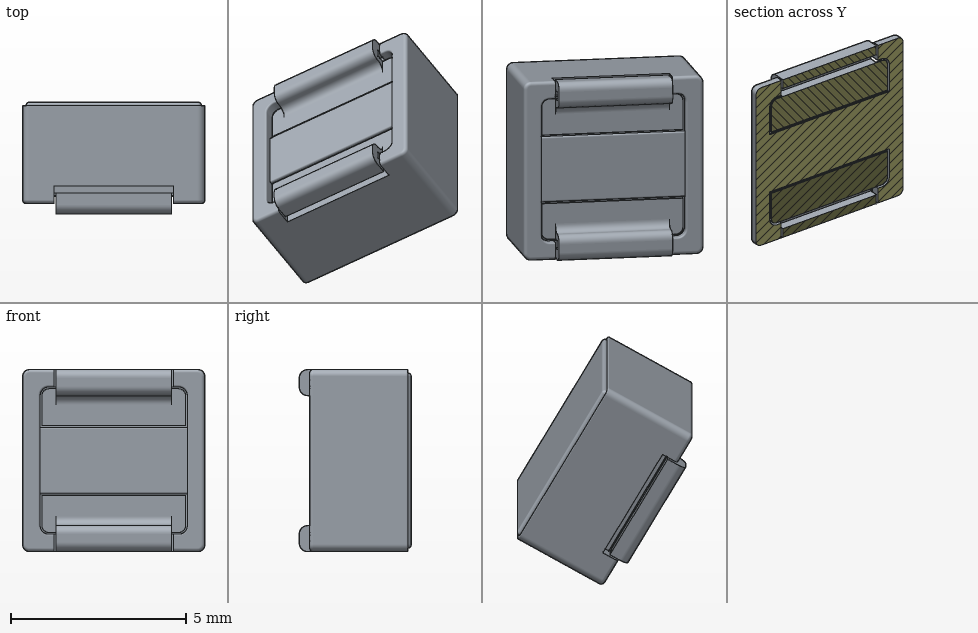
import cadquery as cq
import math

housing_side = 5.2
housing_depth = 2.8
housing_corner_radius = 0.2
front_edge_fillet = 0.1
back_edge_fillet = 0.03

back_panel_inset = 0.1
back_panel_height = 0.1
back_panel_fillet = 0.099

pocket_side = 4.2
pocket_corner_radius = 0.25
pocket_depth = 0.3
pocket_rim_fillet = 0.05
bar_top_depth = 0.2
bar_height = 1.9
bar_edge_fillet = 0.05

clearance = 0.05
plate_thickness = 0.06
lead_width = 3.3
lead_bend_radius = 0.25
lead_projection = 0.3
lead_height = 0.75
lead_flange_thickness = 0.3
bead_back = 0

notch_depth = 0.5

housing_half = housing_side / 2
pocket_half = pocket_side / 2
notch_width = lead_width + 2 * clearance
plate_front = pocket_depth - plate_thickness
plate_side = pocket_side - 2 * clearance
plate_outer_edge = plate_side / 2
plate_inner_edge = bar_height / 2 + clearance


def block(width, height, y_start, y_end, z_center=0):
    """Box centred on X, reaching from y_start to y_end."""
    return cq.Workplane("XY").box(width, y_end - y_start, height).translate(
        (0, (y_start + y_end) / 2, z_center)
    )


def rounded_block(side, corner_radius, y_start, y_end):
    """Square block with its four edges along Y rounded."""
    return block(side, side, y_start, y_end).edges("|Y").fillet(corner_radius)


def make_shell():
    """Outer housing block with its raised back panel."""
    shell = rounded_block(housing_side, housing_corner_radius, 0, housing_depth)
    shell = shell.faces("<Y").edges().fillet(front_edge_fillet)
    shell = shell.faces(">Y").edges().fillet(back_edge_fillet)
    panel = rounded_block(
        housing_side - 2 * back_panel_inset,
        housing_corner_radius - back_panel_inset,
        housing_depth,
        housing_depth + back_panel_height,
    )
    panel = panel.faces(">Y").edges().fillet(back_panel_fillet)
    return shell.union(panel)


def make_bar():
    """Bar across the pocket with its two long front edges rounded."""
    bar = block(pocket_side, bar_height, bar_top_depth, pocket_depth)
    return bar.faces("<Y").edges("|X").fillet(bar_edge_fillet)


def make_housing():
    """Shell with the pocket, the bar across it and a notch through the rim at +Z and -Z."""
    housing = make_shell().cut(rounded_block(pocket_side, pocket_corner_radius, 0, pocket_depth))
    rim_selector = cq.selectors.BoxSelector(
        (-pocket_half - clearance, -clearance, -pocket_half - clearance),
        (pocket_half + clearance, clearance, pocket_half + clearance),
    )
    housing = housing.faces("<Y").edges(rim_selector).fillet(pocket_rim_fillet)
    housing = housing.union(make_bar())
    notch_height = housing_half - pocket_half
    for side in (1, -1):
        notch_center = side * (housing_half + pocket_half) / 2
        housing = housing.cut(block(notch_width, notch_height, 0, notch_depth, notch_center))
    return housing


def make_lead():
    """Lead that bends out of the plate, forms a rounded bead and ends in a flange inside the notch."""
    lead_bottom = housing_half - lead_height
    flange_bottom = housing_half - lead_flange_thickness
    diagonal = lead_bend_radius * math.sqrt(0.5)
    bead_center_y = lead_bend_radius - lead_projection
    low_center_z = lead_bottom + lead_bend_radius
    high_center_z = housing_half - lead_bend_radius
    bend_center_z = lead_bottom - lead_bend_radius
    bend_center_y = plate_front - lead_bend_radius
    return (
        cq.Workplane("YZ", origin=(-lead_width / 2, 0, 0))
        .moveTo(pocket_depth, bend_center_z)
        .lineTo(plate_front, bend_center_z)
        .threePointArc(
            (bend_center_y + diagonal, bend_center_z + diagonal), (bend_center_y, lead_bottom)
        )
        .lineTo(bead_center_y, lead_bottom)
        .threePointArc(
            (bead_center_y - diagonal, low_center_z - diagonal), (-lead_projection, low_center_z)
        )
        .lineTo(-lead_projection, high_center_z)
        .threePointArc(
            (bead_center_y - diagonal, high_center_z + diagonal), (bead_center_y, housing_half)
        )
        .lineTo(pocket_depth, housing_half)
        .lineTo(pocket_depth, flange_bottom)
        .lineTo(bead_back, flange_bottom)
        .lineTo(bead_back, plate_outer_edge)
        .lineTo(pocket_depth, plate_outer_edge)
        .close()
        .extrude(lead_width)
    )


def make_plate():
    """Thin plate covering the pocket floor on the +Z side of the bar."""
    outline = rounded_block(plate_side, pocket_corner_radius - clearance, plate_front, pocket_depth)
    plate_center = plate_inner_edge + housing_half / 2
    return outline.intersect(
        block(plate_side, housing_half, plate_front, pocket_depth, plate_center)
    )


def make_terminal(turn):
    """Plate and lead in one solid, turned about the Y axis."""
    return make_plate().union(make_lead()).rotate((0, 0, 0), (0, 1, 0), turn)


housing = make_housing()
terminals = [make_terminal(turn) for turn in (0, 180)]

result = cq.Compound.makeCompound([housing.val(), *[terminal.val() for terminal in terminals]])